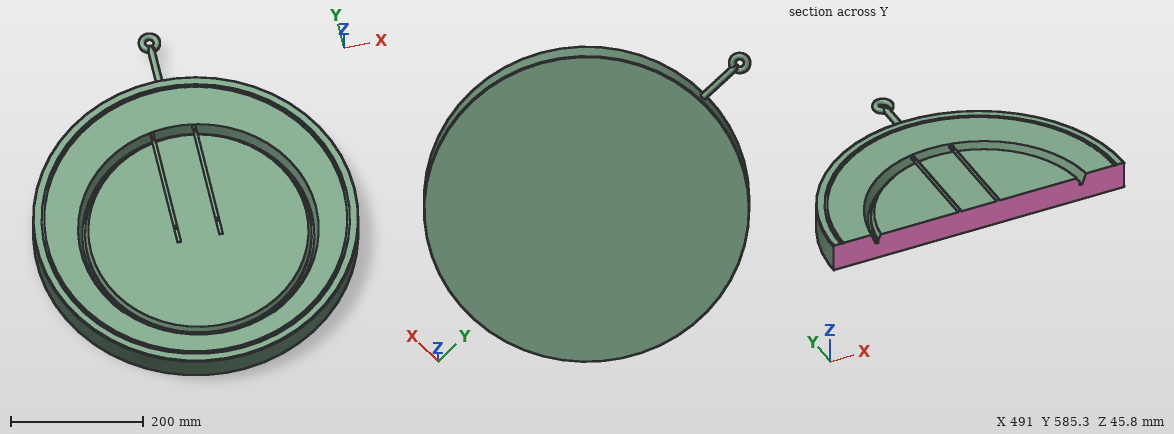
import cadquery as cq
import math

body_diameter = 491.0
body_height = 45.8
edge_chamfer_height = 2.0
edge_chamfer_width = 1.0
body_radius = body_diameter / 2

seal_cord_diameter = 4.0
seal_centre_diameter = 461.0

recess_centre_y = -18.5
recess_top_diameter = 363.0
recess_floor_diameter = 350.0
recess_depth = 18.0
recess_floor_z = body_height - recess_depth

flap_diameter = 342.0
flap_top_diameter = 332.0
flap_drop = 4.0
flap_taper_height = 8.0
flap_top_z = body_height - flap_drop
flap_taper_z = flap_top_z - flap_taper_height

wire_diameter = 5.5
wire_spacing = 64.5
wire_tip_diameter = 3.0
wire_taper_y = -4.0
wire_tip_y = -7.5
groove_front_y = -31.0
wire_gap_front_y = 148.0
wire_gap_back_y = 153.5
wire_back_y = 165.0

rod_diameter = 10.0
rod_embedding = 20.0
eye_reach_y = 339.75
eye_ring_diameter = 22.5
eye_z = body_height / 2
eye_centre_y = eye_reach_y - (eye_ring_diameter + rod_diameter) / 2
ring_gap_half_angle = 20.0
rod_shoulder_y = eye_centre_y - (eye_ring_diameter + rod_diameter) / 2
rod_tip_y = eye_centre_y - 5.0
rod_tip_diameter = 4.0


def bar_along_y(x, z, start_y, end_y, start_diameter, end_diameter):
    """Round bar parallel to Y, straight or tapered."""
    base = cq.Vector(x, start_y, z)
    direction = cq.Vector(0, 1, 0)
    length = end_y - start_y
    if start_diameter == end_diameter:
        bar = cq.Solid.makeCylinder(start_diameter / 2, length, base, direction)
    else:
        bar = cq.Solid.makeCone(start_diameter / 2, end_diameter / 2, length, base, direction)
    return cq.Workplane(obj=bar)


def tapered_disc(bottom_diameter, top_diameter, bottom_z, top_z):
    """Vertical tapered disc on the flap axis."""
    base = cq.Vector(0, recess_centre_y, bottom_z)
    disc = cq.Solid.makeCone(bottom_diameter / 2, top_diameter / 2, top_z - bottom_z, base)
    return cq.Workplane(obj=disc)


def make_body():
    """Turned disc with the same steep chamfer on both rims."""
    face_radius = body_radius - edge_chamfer_width
    return (
        cq.Workplane("XZ")
        .lineTo(face_radius, 0)
        .lineTo(body_radius, edge_chamfer_height)
        .lineTo(body_radius, body_height - edge_chamfer_height)
        .lineTo(face_radius, body_height)
        .lineTo(0, body_height)
        .close()
        .revolve(360, (0, 0, 0), (0, 1, 0))
    )


def add_seal(body):
    """Cut the groove down to the cord centre, then lay the cord in it, its crown level with the top face."""
    seal_radius = seal_centre_diameter / 2
    cord_radius = seal_cord_diameter / 2
    cord_z = body_height - cord_radius
    groove = (
        cq.Workplane("XY", origin=(0, 0, cord_z))
        .circle(seal_radius + cord_radius)
        .circle(seal_radius - cord_radius)
        .extrude(cord_radius)
    )
    cord = cq.Solid.makeTorus(seal_radius, cord_radius, cq.Vector(0, 0, cord_z))
    return body.cut(groove).union(cq.Workplane(obj=cord))


def cut_recess(body):
    return body.cut(tapered_disc(recess_floor_diameter, recess_top_diameter, recess_floor_z, body_height))


def add_flap(body):
    base = (
        cq.Workplane("XY", origin=(0, recess_centre_y, recess_floor_z))
        .circle(flap_diameter / 2)
        .extrude(flap_taper_z - recess_floor_z)
    )
    taper = tapered_disc(flap_diameter, flap_top_diameter, flap_taper_z, flap_top_z)
    return body.union(base).union(taper)


def add_wire(body, x):
    groove = bar_along_y(x, flap_top_z, groove_front_y, wire_taper_y, wire_diameter, wire_diameter)
    tip = bar_along_y(x, flap_top_z, wire_tip_y, wire_taper_y, wire_tip_diameter, wire_diameter)
    wire = bar_along_y(x, flap_top_z, wire_taper_y, wire_gap_front_y, wire_diameter, wire_diameter)
    stub = bar_along_y(x, flap_top_z, wire_gap_back_y, wire_back_y, wire_diameter, wire_diameter)
    return body.cut(groove).union(wire).union(tip).union(stub)


def make_eye_ring():
    ring_radius = eye_ring_diameter / 2
    gap = math.radians(ring_gap_half_angle)
    end_x = ring_radius * math.sin(gap)
    end_y = eye_centre_y - ring_radius * math.cos(gap)
    path = (
        cq.Workplane("XY", origin=(0, 0, eye_z))
        .moveTo(end_x, end_y)
        .threePointArc((0, eye_centre_y + ring_radius), (-end_x, end_y))
    )
    start_direction = cq.Vector(math.cos(gap), math.sin(gap), 0)
    start_plane = cq.Plane(origin=(end_x, end_y, eye_z), xDir=(0, 0, 1), normal=start_direction)
    return cq.Workplane(start_plane).circle(rod_diameter / 2).sweep(path)


def make_lifting_eye():
    rod_start_y = body_radius - rod_embedding
    rod = bar_along_y(0, eye_z, rod_start_y, rod_shoulder_y, rod_diameter, rod_diameter)
    tip = bar_along_y(0, eye_z, rod_shoulder_y, rod_tip_y, rod_diameter, rod_tip_diameter)
    return rod.union(tip).union(make_eye_ring())


result = make_body()
result = add_seal(result)
result = add_flap(cut_recess(result))
for side in (-1, 1):
    result = add_wire(result, side * wire_spacing / 2)
result = result.union(make_lifting_eye())